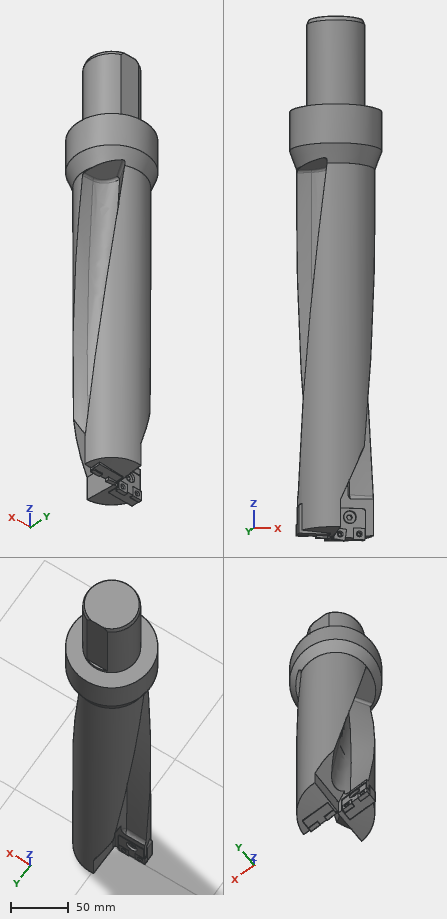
import cadquery as cq
import math

total_length = 456.0
collar_radius = 80.0 / 2
shank_radius = 50.0 / 2
body_radius = 33.7
collar_top_z = 375.7
collar_bottom_z = 341.5
neck_z = 325.0
shank_chamfer_width = 1.5
shank_chamfer_height = 3.5
tip_center_z = 2.7
tip_rim_z = 5.5

flat_y = 23.0
flat_bottom_z = 378.5

flute_section_z = 50.0
flute_twist_per_length = 0.2149
flute_floor_y = 4.0
flute_floor_inner_x = 12.8
flute_root_x = 7.8
flute_root_y = -4.5
flute_wall_start = (10.0, -18.5)
flute_wall_angle = -60.0
flute_wall_stretch = 3.0
flute_outer_reach = 54.5
flute_top_z = 326.5
flute_top_tilt = 10.0
flute_top_angle = 32.0
flute_end_fillet = 6.0
flute_top_fillet = 2.5
flute_bottom_z = 35.0

pocket_wall_top_z = 29.5
ramp_top_z = 86.5
ramp_top_x = 23.5
pocket_floor_y = {"inner": 2.0, "outer": 0.0}
pocket_wall_x = {"inner": -2.5, "outer": 3.0}

seat_top_z = 28.5
seat_thickness = 12.0
seat_rise = 0.7
seat_corner_radius = 2.7
outer_seat_relief = 1.5
seat_span = {"inner": (-1.5, 26.5), "outer": (7.0, 34.5)}
seat_screw_diameter = 11.0
seat_screw_depth = 2.5
seat_socket_diameter = 5.0
seat_socket_depth = 5.5
seat_screw_x = 14.0
seat_screw_z = 21.0

insert_size = 10.0
insert_thickness = 3.88
insert_hole_diameter = 3.0
insert_countersink_diameter = 5.0
insert_countersink_angle = 90.0
insert_places = [
    ("inner", 4.0, 0.0, 8.0),
    ("inner", 21.0, 1.5, 0.0),
    ("outer", 12.8, 1.0, 0.0),
    ("outer", 29.5, 2.5, 0.0),
]

side_rotation = {"inner": 0.0, "outer": 180.0}


def turn_to_side(shape, side):
    return shape.rotate((0, 0, 0), (0, 0, 1), side_rotation[side])


def block(x_min, x_max, y_min, y_max, z_min, z_max):
    size = (x_max - x_min, y_max - y_min, z_max - z_min)
    return cq.Workplane("XY").box(*size, centered=False).translate((x_min, y_min, z_min))


def make_blank():
    return (
        cq.Workplane("XZ")
        .moveTo(0, tip_center_z)
        .lineTo(body_radius, tip_rim_z)
        .lineTo(body_radius, neck_z)
        .lineTo(collar_radius, collar_bottom_z)
        .lineTo(collar_radius, collar_top_z)
        .lineTo(shank_radius, collar_top_z)
        .lineTo(shank_radius, total_length - shank_chamfer_height)
        .lineTo(shank_radius - shank_chamfer_width, total_length)
        .lineTo(0, total_length)
        .close()
        .revolve(360, (0, 0, 0), (0, 1, 0))
    )


def make_shank_flat():
    return block(-shank_radius, shank_radius, flat_y, collar_radius, flat_bottom_z, total_length)


def make_flute(side):
    """Cutter for one helical flute, with a rounded lower end and a tilted upper end."""
    length = collar_bottom_z - flute_bottom_z
    wall_angle = math.radians(flute_wall_angle)
    wall_edge = (body_radius * math.cos(wall_angle), body_radius * math.sin(wall_angle))
    wall_far = tuple(
        start + flute_wall_stretch * (edge - start) for start, edge in zip(flute_wall_start, wall_edge)
    )
    flute = (
        cq.Workplane("XY")
        .moveTo(flute_outer_reach, flute_floor_y)
        .lineTo(flute_floor_inner_x, flute_floor_y)
        .threePointArc((flute_root_x, flute_root_y), flute_wall_start)
        .lineTo(*wall_far)
        .lineTo(flute_outer_reach, wall_far[1])
        .close()
        .twistExtrude(length, flute_twist_per_length * length)
        .faces("<Z")
        .edges()
        .fillet(flute_end_fillet)
        .rotate((0, 0, 0), (0, 0, 1), flute_twist_per_length * (flute_bottom_z - flute_section_z))
        .translate((0, 0, flute_bottom_z))
    )
    reach = 2 * flute_outer_reach
    cap = (
        block(-reach, reach, -reach, reach, 0, reach)
        .rotate((0, 0, 0), (1, 0, 0), flute_top_tilt)
        .rotate((0, 0, 0), (0, 0, 1), flute_top_angle)
        .translate((0, 0, flute_top_z))
    )
    flute = flute.cut(cap).faces(">Z").edges().fillet(flute_top_fillet)
    return turn_to_side(flute, side)


def make_pocket(side):
    """Cutter for the open corner at the tip, whose wall ramps outward above the seat."""
    wall_x = pocket_wall_x[side]
    floor_y = pocket_floor_y[side]
    outer_x = 2 * body_radius
    ramp_slope = (ramp_top_z - pocket_wall_top_z) / (ramp_top_x - wall_x)
    pocket = (
        cq.Workplane("XZ", origin=(0, floor_y, 0))
        .moveTo(wall_x, 0)
        .lineTo(wall_x, pocket_wall_top_z)
        .lineTo(outer_x, pocket_wall_top_z + ramp_slope * (outer_x - wall_x))
        .lineTo(outer_x, 0)
        .close()
        .extrude(2 * body_radius)
    )
    return turn_to_side(pocket, side)


def make_seat(side):
    """Plate standing slightly proud of the pocket floor; it is one piece with the body."""
    x_min, x_max = seat_span[side]
    face_y = pocket_floor_y[side] - seat_rise
    plate = block(x_min, x_max, face_y, face_y + seat_thickness, tip_center_z, seat_top_z)
    plate = plate.edges("|Y and >Z").fillet(seat_corner_radius)
    if side == "outer":
        relief = block(x_max - outer_seat_relief, x_max, face_y, face_y + insert_thickness, 0, seat_top_z)
        plate = plate.cut(relief)
    return turn_to_side(plate, side)


def make_screw_recess(side):
    screw_x = seat_span[side][0] + seat_screw_x
    face_y = pocket_floor_y[side] - seat_rise
    counterbore = (
        cq.Workplane("XZ", origin=(screw_x, face_y, seat_screw_z))
        .circle(seat_screw_diameter / 2)
        .extrude(-seat_screw_depth)
    )
    socket = (
        cq.Workplane("XZ", origin=(screw_x, face_y, seat_screw_z))
        .polygon(6, seat_socket_diameter)
        .extrude(-seat_socket_depth)
    )
    return turn_to_side(counterbore.union(socket), side)


def make_insert_block():
    return cq.Workplane("XZ").rect(insert_size, insert_size).extrude(-insert_thickness)


def make_drilled_insert():
    return (
        make_insert_block()
        .faces("<Y")
        .workplane()
        .cskHole(insert_hole_diameter, insert_countersink_diameter, insert_countersink_angle)
    )


def place_insert(shape, side, center_x, lowest_z, tilt):
    tilt_angle = math.radians(tilt)
    half_height = insert_size / 2 * (math.cos(tilt_angle) + math.sin(tilt_angle))
    face_y = pocket_floor_y[side] - seat_rise
    shape = shape.rotate((0, 0, 0), (0, 1, 0), tilt)
    return turn_to_side(shape.translate((center_x, face_y, lowest_z + half_height)), side)


def make_body():
    body = make_blank().cut(make_shank_flat())
    for side in side_rotation:
        body = body.cut(make_flute(side)).cut(make_pocket(side))
    for side in side_rotation:
        body = body.union(make_seat(side)).cut(make_screw_recess(side))
    for place in insert_places:
        body = body.cut(place_insert(make_insert_block(), *place))
    return body


body = make_body()
inserts = [place_insert(make_drilled_insert(), *place) for place in insert_places]

result = cq.Compound.makeCompound([body.val(), *[insert.val() for insert in inserts]])